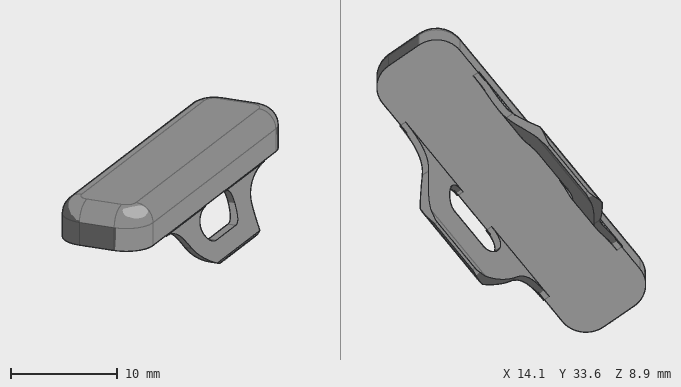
import cadquery as cq
import math

bar_length = 33.6
bar_width = 9.07
bar_height = 4.03
corner_radius = 2.75
top_fillet = 1.75

overall_width = 14.05
overall_height = 8.9
wing_thickness = 0.67
wing_overhang = 0.1
flare_radius = 5.3
tip_rise = 0.27
tip_low_inset = 0.27
tip_round_inset = 0.8

wing_half_length = 11.22
wing_foot_half = 2.95
join_drop = 2.6

slot_length = 7.7
slot_height = 3.23

wing_drop = overall_height - bar_height


def make_bar():
    blank = cq.Workplane("XY").box(bar_width, bar_length, bar_height, centered=(True, True, False))
    return blank.edges("|Z").fillet(corner_radius).faces(">Z").edges().fillet(top_fillet)


def make_flare():
    """Curved wing strip on the +X side, running the full wing length."""
    outer_x = bar_width / 2 + wing_overhang
    center_x = outer_x + flare_radius
    inner_radius = flare_radius + wing_thickness
    tip_x = overall_width / 2

    def on_arc(radius, x):
        return (x, -math.sqrt(radius**2 - (center_x - x) ** 2))

    def arc_middle(radius, x):
        half_angle = math.acos((center_x - x) / radius) / 2
        return (center_x - radius * math.cos(half_angle), -radius * math.sin(half_angle))

    round_x = tip_x - tip_round_inset
    tip_edge = (tip_x, -wing_drop + tip_rise)
    outer_end = on_arc(flare_radius, tip_x)
    profile = (
        cq.Workplane("XZ")
        .moveTo(outer_x, 0)
        .threePointArc(arc_middle(flare_radius, tip_x), outer_end)
        .lineTo(*tip_edge)
        .threePointArc((tip_x - tip_low_inset, -wing_drop), on_arc(inner_radius, round_x))
        .threePointArc(arc_middle(inner_radius, round_x), (center_x - inner_radius, 0))
        .close()
    )
    return profile.extrude(wing_half_length, both=True)


def make_outline():
    """Side outline of the wings: two tangent arcs at each end of a straight foot."""
    run = wing_half_length - wing_foot_half
    sweep_angle = 2 * math.atan(wing_drop / run)
    upper_run = run * join_drop / wing_drop
    upper_radius = upper_run / math.sin(sweep_angle)
    lower_radius = (run - upper_run) / math.sin(sweep_angle)
    half_run = math.sin(sweep_angle / 2)
    half_drop = 1 - math.cos(sweep_angle / 2)
    join = (wing_half_length - upper_run, -join_drop)
    upper_mid = (wing_half_length - upper_radius * half_run, -upper_radius * half_drop)
    lower_mid = (wing_foot_half + lower_radius * half_run, lower_radius * half_drop - wing_drop)

    def mirrored(point):
        return (-point[0], point[1])

    return (
        cq.Workplane("YZ")
        .moveTo(wing_half_length, 0)
        .threePointArc(upper_mid, join)
        .threePointArc(lower_mid, (wing_foot_half, -wing_drop))
        .lineTo(-wing_foot_half, -wing_drop)
        .threePointArc(mirrored(lower_mid), mirrored(join))
        .threePointArc(mirrored(upper_mid), (-wing_half_length, 0))
        .close()
        .extrude(overall_width, both=True)
    )


def make_slot():
    return (
        cq.Workplane("YZ")
        .center(0, -slot_height / 2)
        .slot2D(slot_length, slot_height)
        .extrude(overall_width, both=True)
    )


wing = make_flare().intersect(make_outline()).cut(make_slot())
result = make_bar().union(wing).union(wing.mirror("YZ"))